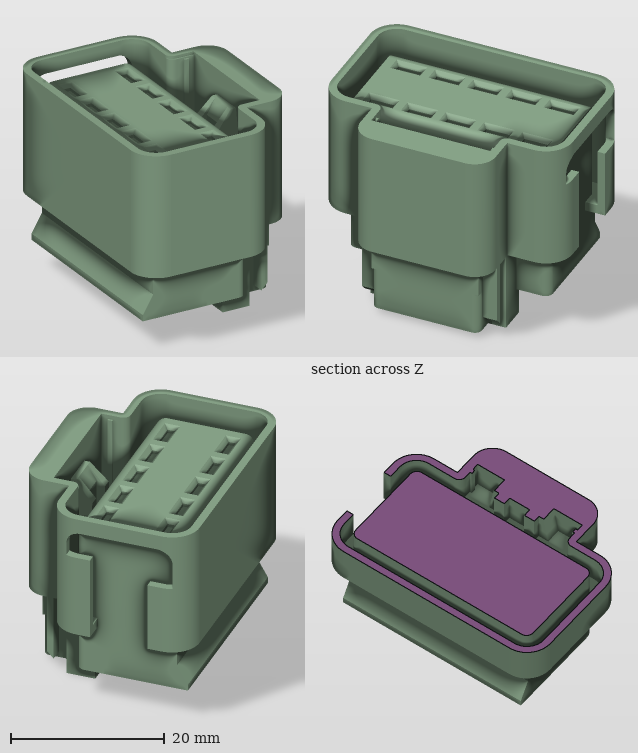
import cadquery as cq


SHROUD_WIDTH = 34.6
SHROUD_DEPTH = 19.6
SHROUD_HEIGHT = 17.5
SHROUD_RADIUS = 3.8
WALL = 1.1
FLOOR = 1.3

OVERALL_DEPTH = 26.2
TOWER_WIDTH = 19.4
TOWER_RADIUS = 3.0
TOWER_BACK_Y = OVERALL_DEPTH - SHROUD_DEPTH / 2
TOWER_ROOM_WIDTH = TOWER_WIDTH - 2 * WALL
TOWER_ROOM_BACK_Y = 12.4
TOWER_DROP = 0.1
NECK_RADIUS = 1.0
RIB_WIDTH = 0.7
RIB_HEIGHT = 0.3
RIB_Y = 11.1
RIB_TOP_Z = SHROUD_HEIGHT - 0.6
LINER_THICKNESS = 0.25
LINER_TOP_Z = SHROUD_HEIGHT - 0.4

CORE_WIDTH = 28.9
CORE_DEPTH = 14.0
CORE_TOP_Z = 15.0
CORE_BOTTOM_Z = -7.0
CORE_TOP_RADIUS = 1.65
CORE_CORNER_RADIUS = 1.1
LIP_REACH = 1.55
LIP_SLOPE_TOP_Z = -3.5
LIP_SLOPE_BOTTOM_Z = -6.1

SOCKET_COLUMNS = 5
SOCKET_PITCH = 5.5
SOCKET_ROW_SPACING = 8.5
SOCKET_MOUTH = (4.35, 2.1)
SOCKET_HOLE = (3.35, 1.0)
LEAD_IN_DEPTH = 0.6
SOCKET_DEPTH = 1.05

WINDOW_GAP = 0.4
WINDOW_BACK_SILL_Z = 11.65
WINDOW_FRONT_SILL_Z = 9.65
LEFT_SLOT_LENGTH = 8.0
RIGHT_SLOT_LENGTH = 7.0

CATCH_TOP_Z = 13.85
CATCH_TOP_WIDTH = 4.84
CATCH_BASE_WIDTH = 9.6
CATCH_TOP_FRONT_Y = 11.6
CATCH_PLATE_FRONT_Y = 10.2
CHEEK_FRONT_Y = 9.2
CHEEK_SLOPE_BOTTOM_Z = 11.1
CHEEK_SPAN = 6.56
CATCH_POCKET_WIDTH = 3.2
CATCH_POCKET_Y = 10.36
CATCH_POCKET_SLOPE_BOTTOM_Z = 11.7

BLOCK_BOTTOM_Z = -11.1
BLOCK_FRONT_Y = 6.2
BLOCK_BACK_Y = 12.95
BLOCK_BEVEL = 2.75
GROOVE_BACK_Y = 12.0
GROOVE_DEPTH = 2.0
TONGUE_BACK_Y = 14.3
TONGUE_BOTTOM_Z = -10.2
TONGUE_ROUND_TOP_Z = -4.2
TONGUE_RADIUS = 1.0

BACK_UPRIGHTS = "|Z and >Y"


def block(x_range, y_range, z_range):
    """Box between the given limits along each axis."""
    limits = (x_range, y_range, z_range)
    sizes = [high - low for low, high in limits]
    corner = tuple(low for low, high in limits)
    return cq.Workplane("XY").box(*sizes, centered=False).translate(corner)


def rounded_block(width, y_range, z_range, radius, edges="|Z"):
    """Block centred in X with rounded upright edges."""
    return block((-width / 2, width / 2), y_range, z_range).edges(edges).fillet(radius)


def side_profile(points, width):
    """Closed (y, z) outline extruded symmetrically along X."""
    return cq.Workplane("YZ").polyline(points).close().extrude(width / 2, both=True)


def make_shroud():
    half_depth = SHROUD_DEPTH / 2
    inner_half_depth = half_depth - WALL
    shroud = rounded_block(
        SHROUD_WIDTH, (-half_depth, half_depth), (0, SHROUD_HEIGHT), SHROUD_RADIUS
    )
    tower = rounded_block(
        TOWER_WIDTH, (0, TOWER_BACK_Y), (-TOWER_DROP, SHROUD_HEIGHT), TOWER_RADIUS, BACK_UPRIGHTS
    )
    tower = tower.cut(
        block((-TOWER_WIDTH, TOWER_WIDTH), (-half_depth, half_depth), (-TOWER_DROP, 0))
    )

    room_z = (FLOOR, SHROUD_HEIGHT)
    room = rounded_block(
        SHROUD_WIDTH - 2 * WALL,
        (-inner_half_depth, inner_half_depth),
        room_z,
        SHROUD_RADIUS - WALL,
    )
    half_room = TOWER_ROOM_WIDTH / 2
    room = room.union(block((-half_room, half_room), (0, TOWER_ROOM_BACK_Y), room_z))
    neck_edges = cq.selectors.BoxSelector(
        (-half_room - WALL, inner_half_depth - WALL / 2, FLOOR),
        (half_room + WALL, inner_half_depth + WALL / 2, SHROUD_HEIGHT),
    )
    room = room.edges("|Z").edges(neck_edges).fillet(NECK_RADIUS)
    shroud = shroud.union(tower).cut(room)

    liner = block(
        (-TOWER_WIDTH / 2, -half_room + LINER_THICKNESS),
        (inner_half_depth, TOWER_ROOM_BACK_Y),
        (0, LINER_TOP_Z),
    )
    liner = liner.edges("|Z").edges(">X and <Y").fillet(NECK_RADIUS)
    shroud = shroud.union(liner)
    for wall_x in (-half_room + LINER_THICKNESS, half_room):
        rib = cq.Workplane("XY").box(
            2 * RIB_HEIGHT, RIB_WIDTH, RIB_TOP_Z, centered=(True, True, False)
        )
        shroud = shroud.union(rib.translate((wall_x, RIB_Y, 0)))
    return shroud


def core_outline(clearance, bottom_z, length):
    """Core cross-section with its two rounded top edges, grown by a clearance, along X."""
    half_depth = CORE_DEPTH / 2 + clearance
    return (
        block(
            (-length / 2, length / 2),
            (-half_depth, half_depth),
            (bottom_z, CORE_TOP_Z + clearance),
        )
        .edges("|X and >Z")
        .fillet(CORE_TOP_RADIUS + clearance)
    )


def make_core():
    half_depth = CORE_DEPTH / 2
    lip_y = -half_depth - LIP_REACH
    upper = core_outline(0, 0, CORE_WIDTH).intersect(
        rounded_block(
            CORE_WIDTH, (-half_depth, half_depth), (0, CORE_TOP_Z), CORE_CORNER_RADIUS
        )
    )
    lower = side_profile(
        [
            (half_depth, FLOOR),
            (half_depth, CORE_BOTTOM_Z),
            (lip_y, CORE_BOTTOM_Z),
            (lip_y, LIP_SLOPE_BOTTOM_Z),
            (-half_depth, LIP_SLOPE_TOP_Z),
            (-half_depth, FLOOR),
        ],
        CORE_WIDTH,
    )
    lower = lower.edges(BACK_UPRIGHTS).fillet(CORE_CORNER_RADIUS)
    return upper.union(lower)


def make_socket():
    """Tapered lead-in and shallow blind terminal hole, with its mouth at Z = 0."""
    lead_in = (
        cq.Workplane("XY")
        .rect(*SOCKET_MOUTH)
        .workplane(offset=-LEAD_IN_DEPTH)
        .rect(*SOCKET_HOLE)
        .loft(ruled=True)
    )
    return lead_in.union(cq.Workplane("XY").rect(*SOCKET_HOLE).extrude(-SOCKET_DEPTH))


def cut_sockets(body):
    socket = make_socket()
    for column in range(SOCKET_COLUMNS):
        x = (column - (SOCKET_COLUMNS - 1) / 2) * SOCKET_PITCH
        for side in (-1, 1):
            y = side * SOCKET_ROW_SPACING / 2
            body = body.cut(socket.translate((x, y, CORE_TOP_Z)))
    return body


def cut_side_openings(shroud):
    """Stepped window through the -X wall and floor, and a slot in the +X floor."""
    window = core_outline(WINDOW_GAP, WINDOW_FRONT_SILL_Z, SHROUD_WIDTH)
    back_sill = block(
        (-SHROUD_WIDTH, SHROUD_WIDTH),
        (LEFT_SLOT_LENGTH / 2, SHROUD_DEPTH / 2),
        (0, WINDOW_BACK_SILL_Z),
    )
    left_slot = block(
        (-SHROUD_WIDTH / 2, 0),
        (-LEFT_SLOT_LENGTH / 2, LEFT_SLOT_LENGTH / 2),
        (0, WINDOW_BACK_SILL_Z),
    )
    left_half = block(
        (-SHROUD_WIDTH / 2, 0), (-SHROUD_DEPTH, SHROUD_DEPTH), (FLOOR, SHROUD_HEIGHT)
    )
    right_slot = block(
        (0, SHROUD_WIDTH / 2 - WALL),
        (-RIGHT_SLOT_LENGTH / 2, RIGHT_SLOT_LENGTH / 2),
        (0, FLOOR),
    )
    shroud = shroud.cut(window.cut(back_sill).intersect(left_half))
    return shroud.cut(left_slot).cut(right_slot)


def make_catch():
    """Tapered catch with two forward cheeks either side of a central pocket."""
    half_top = CATCH_TOP_WIDTH / 2
    half_base = CATCH_BASE_WIDTH / 2
    taper = (
        cq.Workplane("XZ", origin=(0, TOWER_ROOM_BACK_Y, 0))
        .polyline(
            [
                (-half_base, FLOOR),
                (half_base, FLOOR),
                (half_top, CATCH_TOP_Z),
                (-half_top, CATCH_TOP_Z),
            ]
        )
        .close()
        .extrude(TOWER_ROOM_BACK_Y - CHEEK_FRONT_Y)
    )
    slope = side_profile(
        [
            (TOWER_ROOM_BACK_Y, FLOOR),
            (CHEEK_FRONT_Y, FLOOR),
            (CHEEK_FRONT_Y, CHEEK_SLOPE_BOTTOM_Z),
            (CATCH_TOP_FRONT_Y, CATCH_TOP_Z),
            (TOWER_ROOM_BACK_Y, CATCH_TOP_Z),
        ],
        CATCH_BASE_WIDTH,
    )
    pocket = side_profile(
        [
            (CHEEK_FRONT_Y, FLOOR),
            (CHEEK_FRONT_Y, CATCH_TOP_Z),
            (CATCH_TOP_FRONT_Y, CATCH_TOP_Z),
            (CATCH_POCKET_Y, CATCH_POCKET_SLOPE_BOTTOM_Z),
            (CATCH_POCKET_Y, FLOOR),
        ],
        CATCH_POCKET_WIDTH,
    )
    catch = taper.intersect(slope).cut(pocket)
    for x_range in ((-half_base, -CHEEK_SPAN / 2), (CHEEK_SPAN / 2, half_base)):
        catch = catch.cut(
            block(x_range, (CHEEK_FRONT_Y, CATCH_PLATE_FRONT_Y), (FLOOR, CATCH_TOP_Z))
        )
    return catch


def make_guide_block():
    """Bevelled block below the tower, grooved at both sides, with a tongue behind it."""
    bevel_front_y = BLOCK_BACK_Y - BLOCK_BEVEL
    guide = side_profile(
        [
            (BLOCK_FRONT_Y, FLOOR),
            (BLOCK_FRONT_Y, BLOCK_BOTTOM_Z),
            (bevel_front_y, BLOCK_BOTTOM_Z),
            (BLOCK_BACK_Y, BLOCK_BOTTOM_Z + BLOCK_BEVEL),
            (BLOCK_BACK_Y, FLOOR),
        ],
        TOWER_WIDTH,
    )
    half_width = TOWER_WIDTH / 2
    half_core = half_width - GROOVE_DEPTH
    for x_range in ((-half_width, -half_core), (half_core, half_width)):
        guide = guide.cut(
            block(x_range, (bevel_front_y, GROOVE_BACK_Y), (BLOCK_BOTTOM_Z, -TOWER_DROP))
        )
    tongue = rounded_block(
        2 * half_core,
        (bevel_front_y, TONGUE_BACK_Y),
        (TONGUE_BOTTOM_Z, TONGUE_ROUND_TOP_Z),
        TONGUE_RADIUS,
        BACK_UPRIGHTS,
    )
    shoulder = block(
        (-half_core, half_core), (bevel_front_y, TONGUE_BACK_Y), (TONGUE_ROUND_TOP_Z, FLOOR)
    )
    return guide.union(tongue).union(shoulder)


shroud = cut_side_openings(make_shroud())
core = cut_sockets(make_core())
result = shroud.union(core).union(make_guide_block()).union(make_catch())